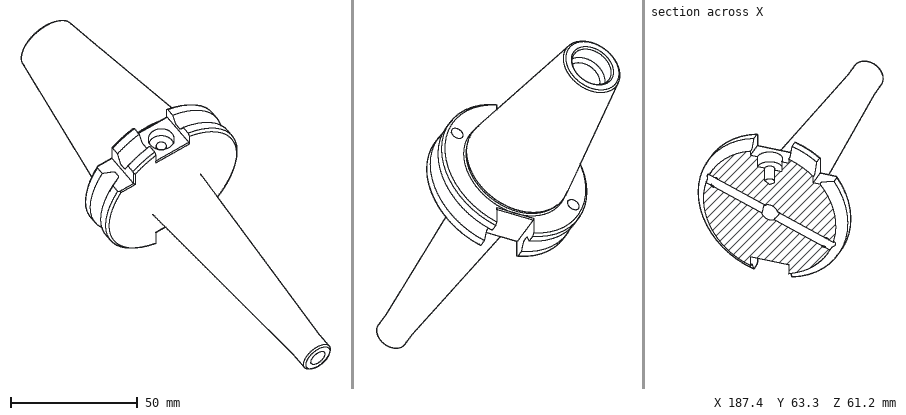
import math

import cadquery as cq


gauge_radius = 44.45 / 2
taper_length = 68.4
taper_half_slope = 7 / 48
small_end_radius = gauge_radius - taper_length * taper_half_slope
small_end_chamfer = 0.7

flange_radius = 63.33 / 2
flange_front = 3.2
flange_back = 19.1
flange_chamfer = 1.0

groove_center = 11.1
groove_mouth_width = 7.2
groove_bottom_radius = 28.1
groove_wall_angle = 30.0
groove_fillet = 1.0

relief_start = 1.3
relief_depth = 0.5
collar_radius = 22.5

nose_end = 119.0
nose_length = 8.0
nose_radius = 6.5
nose_chamfer = 0.7
neck_angle = 3.75
neck_fillet = 2.9

entry_radius = 8.5
entry_chamfer = 0.7
entry_depth = 6.5
drill_chamfer_angle = 45.0
drill_radius = 7.0
drill_depth = 32.0
drill_point_angle = 60.0
through_radius = 3.4

slot_width = 16.1
top_slot_floor = 25.0
bottom_slot_floor = 22.8

notch_y = 18.5
notch_z = 18.3

pocket_center = (flange_front + flange_back) / 2
pocket_radius = 5.1
pocket_depth = 4.6
pocket_hole_radius = 2.0
pocket_hole_depth = 6.0
pocket_hole_point_angle = 59.0

coolant_radius = 2.4
coolant_tilt = 18.0
coolant_setback = 2.0
cross_hole_radius = 2.0
coolant_circle_radius = 27.0
coolant_angle = 20.4

cutout_bevel = 0.5


def tan(degrees):
    return math.tan(math.radians(degrees))


def revolved(points):
    """Revolve an (x, radius) outline about the X axis."""
    return cq.Workplane("XZ").polyline(points).close().revolve(360, (0, 0, 0), (1, 0, 0))


def make_shank():
    nose_start = nose_end - nose_length
    neck_root_radius = nose_radius + (nose_start - flange_back) * tan(neck_angle)
    shank = revolved([
        (-taper_length, 0),
        (-taper_length, small_end_radius - small_end_chamfer),
        (-taper_length + small_end_chamfer, small_end_radius + small_end_chamfer * taper_half_slope),
        (0, gauge_radius),
        (relief_start, gauge_radius),
        (relief_start + relief_depth, gauge_radius - relief_depth),
        (flange_front - relief_depth, gauge_radius - relief_depth),
        (flange_front, collar_radius),
        (flange_front, flange_radius - flange_chamfer),
        (flange_front + flange_chamfer, flange_radius),
        (flange_back - flange_chamfer, flange_radius),
        (flange_back, flange_radius - flange_chamfer),
        (flange_back, neck_root_radius),
        (nose_start, nose_radius),
        (nose_end - nose_chamfer, nose_radius),
        (nose_end, nose_radius - nose_chamfer),
        (nose_end, 0),
    ])
    point_on_back_face = (flange_back, 0, (flange_radius + neck_root_radius) / 2)
    back_face = shank.faces(cq.selectors.NearestToPointSelector(point_on_back_face))
    neck_root_edge = back_face.edges(cq.selectors.RadiusNthSelector(0))
    return neck_root_edge.fillet(neck_fillet)


def make_gripper_groove():
    depth = flange_radius - groove_bottom_radius
    mouth_half = groove_mouth_width / 2
    bottom_half = mouth_half - depth * tan(groove_wall_angle)
    clear_radius = flange_radius + groove_fillet
    groove = revolved([
        (groove_center - mouth_half, flange_radius),
        (groove_center - bottom_half, groove_bottom_radius),
        (groove_center + bottom_half, groove_bottom_radius),
        (groove_center + mouth_half, flange_radius),
        (groove_center + mouth_half, clear_radius),
        (groove_center - mouth_half, clear_radius),
    ])
    return groove.edges(cq.selectors.RadiusNthSelector(0)).fillet(groove_fillet)


def make_bore():
    chamfer_length = (entry_radius - drill_radius) / tan(drill_chamfer_angle)
    point_length = (drill_radius - through_radius) / tan(drill_point_angle)
    return revolved([
        (-taper_length, 0),
        (-taper_length, entry_radius + entry_chamfer),
        (-taper_length + entry_chamfer, entry_radius),
        (-taper_length + entry_depth, entry_radius),
        (-taper_length + entry_depth + chamfer_length, drill_radius),
        (-taper_length + drill_depth, drill_radius),
        (-taper_length + drill_depth + point_length, through_radius),
        (nose_end, through_radius),
        (nose_end, 0),
    ])


def beveled_floor(floor):
    """Section of a cutout whose floor runs along X and drops away at both flange faces."""
    top = flange_radius + cutout_bevel
    return [
        (flange_front, floor - cutout_bevel),
        (flange_front + cutout_bevel, floor),
        (flange_back - cutout_bevel, floor),
        (flange_back, floor - cutout_bevel),
        (flange_back, top),
        (flange_front, top),
    ]


def make_slot(floor):
    """Drive slot on the +Z side."""
    return cq.Workplane("XZ").polyline(beveled_floor(floor)).close().extrude(slot_width / 2, both=True)


def make_notch():
    floor_cut = cq.Workplane("XZ").polyline(beveled_floor(notch_z)).close().extrude(flange_radius)
    wall_cut = cq.Workplane("XY").polyline(beveled_floor(notch_y)).close().extrude(flange_radius)
    return floor_cut.intersect(wall_cut.mirror("XZ"))


def make_pocket():
    floor = cq.Workplane("XY", origin=(pocket_center, 0, top_slot_floor))
    pocket = floor.circle(pocket_radius).extrude(-pocket_depth)
    point_length = pocket_hole_radius / tan(pocket_hole_point_angle)
    hole_outline = [
        (0, 0),
        (pocket_hole_radius, 0),
        (pocket_hole_radius, -pocket_depth - pocket_hole_depth),
        (0, -pocket_depth - pocket_hole_depth - point_length),
    ]
    hole = (
        cq.Workplane("XZ", origin=(pocket_center, 0, top_slot_floor))
        .polyline(hole_outline)
        .close()
        .revolve(360, (0, 0, 0), (0, 1, 0))
    )
    return pocket.union(hole)


def make_coolant_channels():
    length = coolant_setback + (groove_center - flange_front) / math.cos(math.radians(coolant_tilt))
    inclined = (
        cq.Workplane("YZ", origin=(-coolant_setback, 0, 0))
        .circle(coolant_radius)
        .extrude(length)
        .rotate((0, 0, 0), (0, 0, 1), -coolant_tilt)
        .translate((flange_front, coolant_circle_radius, 0))
    )
    cross_hole_length = groove_bottom_radius + cross_hole_radius
    radial = (
        cq.Workplane("XZ", origin=(groove_center, 0, 0))
        .circle(cross_hole_radius)
        .extrude(-cross_hole_length)
    )
    channel = inclined.union(radial).rotate((0, 0, 0), (1, 0, 0), coolant_angle)
    return channel.union(channel.rotate((0, 0, 0), (1, 0, 0), 180))


result = (
    make_shank()
    .cut(make_gripper_groove())
    .cut(make_bore())
    .cut(make_slot(top_slot_floor))
    .cut(make_slot(bottom_slot_floor).mirror("XY"))
    .cut(make_notch())
    .cut(make_pocket())
    .cut(make_coolant_channels())
)